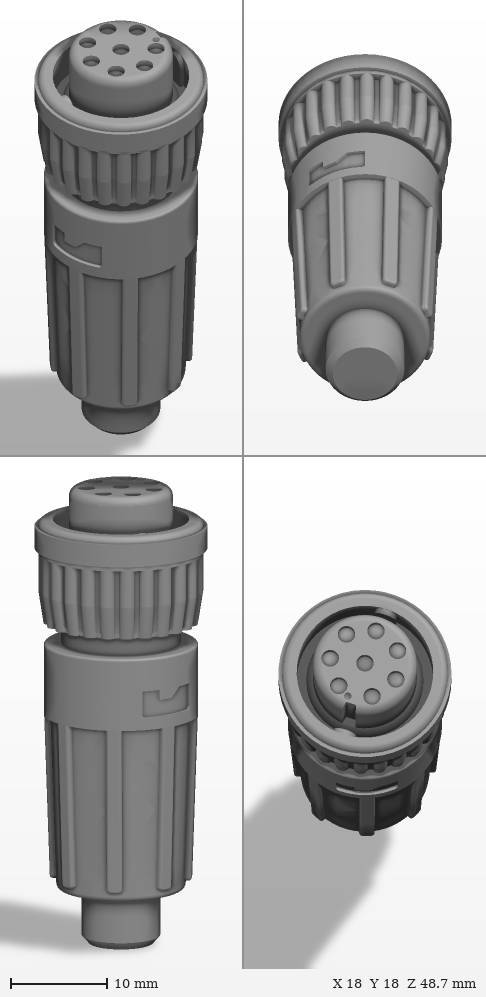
import cadquery as cq
import math

total_height = 48.65
stem_radius = 4.1
stem_chamfer_radial = 0.75
stem_chamfer_height = 0.85
body_bottom = 5.85
body_bottom_radius = 6.7
body_bottom_fillet = 0.55
body_top_radius = 7.35
collar_bottom = 24.4
collar_top = 32.05
collar_radius = 8.05
collar_fillet = 0.3
neck_radius = 6.25
grip_bottom = 34.2
grip_bend = 37.65
grip_top = 41.6
grip_radius = 8.6
grip_bottom_radius = 8.1
grip_core_radius = 7.9
grip_core_bottom_radius = 7.6
ring_bottom = 42.15
ring_shoulder = 44.5
ring_top = 45.2
ring_radius = 9.0
ring_top_fillet = 0.7
bore_radius = 7.1
bore_floor = 41.6
sleeve_radius = 6.1
sleeve_top = 42.65
sleeve_fillet = 0.85
insert_radius = 5.4
insert_fillet = 0.92

lobe_count = 24
lobe_radius = 0.8

rib_count = 8
rib_angle = -70
rib_height = 0.65
rib_width = 1.6
rib_bottom = 6.8
rib_fillet = 0.45
rib_edge_fillet = 0.3
rib_root_radius = body_bottom_radius - 0.95

window_angles = (-70, 110)
window_depth = 0.4
window_bottom = 25.75
window_top = 28.55
window_notch = 27.5
window_half_width = 3.2
notch_left = -1.3
notch_right = 0.2
notch_ramp_end = 1.3
window_fillet = 0.4

contact_radius = 0.9
contact_depth = 0.75
contact_circle = 3.65
contact_angles = (-90, -40, 10, 60, 120, 170, 220)
mark_radius = 0.4
mark_position = (0.6, 3.95)

key_depth_radius = 4.55
key_outer_width = 1.5
key_inner_width = 1.05

lug_radius = 1.15
lug_embed = 0.25
lug_inner = 6.5
lug_outer = bore_radius + lug_embed
lug_arc_height = 44.0


def cylinder(radius, bottom, top):
    return cq.Workplane("XY").workplane(offset=bottom).circle(radius).extrude(top - bottom)


def cone(bottom_radius, bottom, top_radius, top):
    plane = cq.Workplane("XY").workplane(offset=bottom).circle(bottom_radius)
    return plane.workplane(offset=top - bottom).circle(top_radius).loft(ruled=True)


def make_stem_and_body():
    chamfer_radius = stem_radius - stem_chamfer_radial
    stem = cone(chamfer_radius, 0, stem_radius, stem_chamfer_height)
    stem = stem.union(cylinder(stem_radius, stem_chamfer_height, collar_bottom))
    body = cone(body_bottom_radius, body_bottom, body_top_radius, collar_bottom)
    return stem.union(body.faces("<Z").edges().fillet(body_bottom_fillet))


def body_radius_at(z):
    rise = (z - body_bottom) / (collar_bottom - body_bottom)
    return body_bottom_radius + rise * (body_top_radius - body_bottom_radius)


def make_rib():
    """A bar along the tapered body, lying along +X, with rounded outer edges."""
    outline = [
        (rib_root_radius, rib_bottom),
        (body_radius_at(rib_bottom) + rib_height, rib_bottom),
        (body_top_radius + rib_height, collar_bottom),
        (rib_root_radius, collar_bottom),
    ]
    rib = cq.Workplane("XZ").polyline(outline).close().extrude(rib_width / 2, both=True)
    rib = rib.faces("<Z").edges("|X").fillet(rib_fillet)
    return rib.faces(">X").edges("not(>Z)").fillet(rib_edge_fillet)


def make_collar():
    collar = cylinder(collar_radius, collar_bottom, collar_top)
    return collar.faces(">Z").edges().fillet(collar_fillet)


def make_window():
    """Notched latch recess, cut radially into the collar on its -Y side."""
    outline = [
        (-window_half_width, window_bottom),
        (window_half_width, window_bottom),
        (window_half_width, window_top),
        (notch_ramp_end, window_top),
        (notch_right, window_notch),
        (notch_left, window_notch),
        (notch_left, window_top),
        (-window_half_width, window_top),
    ]
    window = cq.Workplane("XZ").polyline(outline).close().extrude(2 * collar_radius)
    window = window.faces("<Z").edges("|Y").fillet(window_fillet)
    return window.cut(cylinder(collar_radius - window_depth, collar_bottom, collar_top))


def make_lobe():
    """One grip lobe at +X: upright above the bend, leaning inward below it."""
    centre = grip_radius - lobe_radius
    lean = grip_radius - grip_bottom_radius
    upper = cylinder(lobe_radius, grip_bend, grip_top).translate((centre, 0, 0))
    lower = (
        cq.Workplane("XY", origin=(centre, 0, grip_bend))
        .circle(lobe_radius)
        .workplane(offset=grip_bottom - grip_bend)
        .center(-lean, 0)
        .circle(lobe_radius)
        .loft(ruled=True)
    )
    return upper.union(lower)


def make_grip():
    grip = cylinder(neck_radius, collar_top, grip_bottom)
    grip = grip.union(cone(grip_core_bottom_radius, grip_bottom, grip_core_radius, grip_bend))
    grip = grip.union(cylinder(grip_core_radius, grip_bend, grip_top))
    lobe = make_lobe()
    for i in range(lobe_count):
        grip = grip.union(lobe.rotate((0, 0, 0), (0, 0, 1), i * 360 / lobe_count))
    return grip


def make_ring():
    ring = cylinder(grip_radius, grip_top, ring_top)
    ring = ring.faces(">Z").edges().fillet(ring_top_fillet)
    return ring.union(cylinder(ring_radius, ring_bottom, ring_shoulder))


def make_key_slot():
    """Keyway on the +Y side of the insert, narrowing inward."""
    slot_length = total_height - sleeve_top
    half_inner = key_inner_width / 2
    half_outer = key_outer_width / 2
    outline = [
        (-half_inner, key_depth_radius),
        (half_inner, key_depth_radius),
        (half_outer, insert_radius),
        (half_outer, sleeve_radius),
        (-half_outer, sleeve_radius),
        (-half_outer, insert_radius),
    ]
    return cq.Workplane("XY", origin=(0, 0, sleeve_top)).polyline(outline).close().extrude(slot_length)


def make_contact_holes():
    centres = [(0, 0)]
    for degrees in contact_angles:
        angle = math.radians(degrees)
        centres.append((contact_circle * math.cos(angle), contact_circle * math.sin(angle)))
    top = cq.Workplane("XY", origin=(0, 0, total_height))
    return top.pushPoints(centres).circle(contact_radius).extrude(-contact_depth)


def make_insert():
    sleeve = cylinder(sleeve_radius, bore_floor, sleeve_top)
    sleeve = sleeve.faces(">Z").edges().fillet(sleeve_fillet)
    insert = cylinder(insert_radius, bore_floor, total_height)
    insert = insert.faces(">Z").edges().fillet(insert_fillet)
    mark = cq.Workplane("XY", origin=(*mark_position, total_height)).sphere(mark_radius)
    return sleeve.union(insert).cut(make_key_slot()).cut(make_contact_holes()).cut(mark)


def make_lugs():
    """Two round-topped lugs, at -Y and +Y, standing on the bore floor."""
    outline = (
        cq.Workplane("XZ")
        .moveTo(-lug_radius, bore_floor)
        .lineTo(lug_radius, bore_floor)
        .lineTo(lug_radius, lug_arc_height)
        .threePointArc((0, lug_arc_height + lug_radius), (-lug_radius, lug_arc_height))
        .close()
    )
    lugs = outline.extrude(lug_outer, both=True)
    gap = cq.Workplane("XY").box(2 * bore_radius, 2 * lug_inner, 2 * total_height)
    return lugs.cut(gap)


def make_latch_collar():
    collar = make_collar()
    window = make_window()
    for angle in window_angles:
        collar = collar.cut(window.rotate((0, 0, 0), (0, 0, 1), angle + 90))
    return collar


def add_ribs(body):
    rib = make_rib()
    for i in range(rib_count):
        body = body.union(rib.rotate((0, 0, 0), (0, 0, 1), rib_angle + i * 360 / rib_count))
    return body


result = add_ribs(make_stem_and_body())
result = result.union(make_latch_collar())
result = result.union(make_grip())
result = result.union(make_ring())
result = result.cut(cylinder(bore_radius, bore_floor, ring_top))
result = result.union(make_insert())
result = result.union(make_lugs())